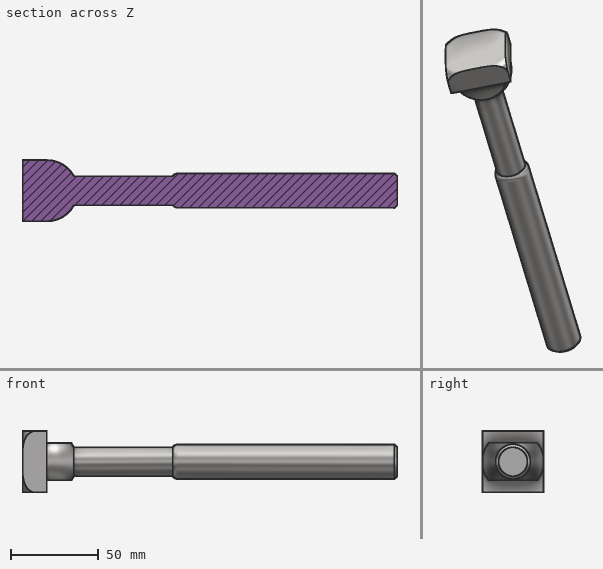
import cadquery as cq

total_length = 214.0
head_width = 35.0
head_thickness = 14.0
front_disc_radius = head_width / 2
front_round = 7.3

ball_radius = head_width / 2
ball_flat_height = 21.5

neck_diameter = 16.7
shank_diameter = 20.0
shank_start = 85.5
shoulder_length = 3.2
end_chamfer = 1.7


def make_head():
    """Square block whose corners are trimmed by a disc with a rounded front rim."""
    block = cq.Workplane("YZ").rect(head_width, head_width).extrude(head_thickness)
    disc = (
        cq.Workplane("YZ")
        .circle(front_disc_radius + front_round)
        .extrude(head_thickness)
        .faces("<X")
        .edges()
        .fillet(front_round)
    )
    return block.intersect(disc)


def make_ball():
    """Half ball centred on the back of the head, with flats at +Z and -Z."""
    ball = cq.Workplane("XY").sphere(ball_radius)
    back_slab = cq.Workplane("XY").box(
        ball_radius, 2 * ball_radius, ball_flat_height, centered=(False, True, True)
    )
    return ball.intersect(back_slab).translate((head_thickness, 0, 0))


def make_shank():
    """Thin neck, rounded shoulder and thicker rod turned about the X axis."""
    neck_radius = neck_diameter / 2
    shank_radius = shank_diameter / 2
    shoulder_rise = shank_radius - neck_radius
    shoulder_radius = (shoulder_length**2 + shoulder_rise**2) / (2 * shoulder_rise)
    profile = (
        cq.Workplane("XY")
        .moveTo(head_thickness, 0)
        .lineTo(head_thickness, neck_radius)
        .lineTo(shank_start, neck_radius)
        .radiusArc((shank_start + shoulder_length, shank_radius), shoulder_radius)
        .lineTo(total_length - end_chamfer, shank_radius)
        .lineTo(total_length, shank_radius - end_chamfer)
        .lineTo(total_length, 0)
        .close()
    )
    return profile.revolve(360, (0, 0, 0), (1, 0, 0))


result = make_head().union(make_ball()).union(make_shank())